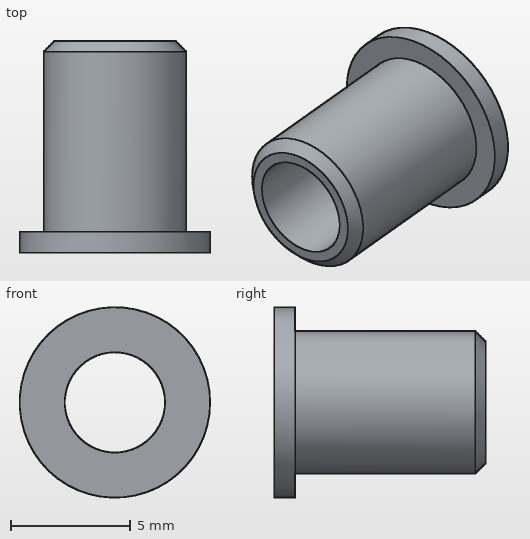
import cadquery as cq

total_length = 8.89
flange_diameter = 8.0
flange_thickness = 0.89
body_diameter = 6.0
bore_diameter = 4.2
end_chamfer = 0.45

body = (
    cq.Workplane("XZ")
    .circle(body_diameter / 2)
    .extrude(-total_length)
    .faces(">Y")
    .chamfer(end_chamfer)
)
flange = cq.Workplane("XZ").circle(flange_diameter / 2).extrude(-flange_thickness)
bore = cq.Workplane("XZ").circle(bore_diameter / 2).extrude(-total_length)

result = body.union(flange).cut(bore)